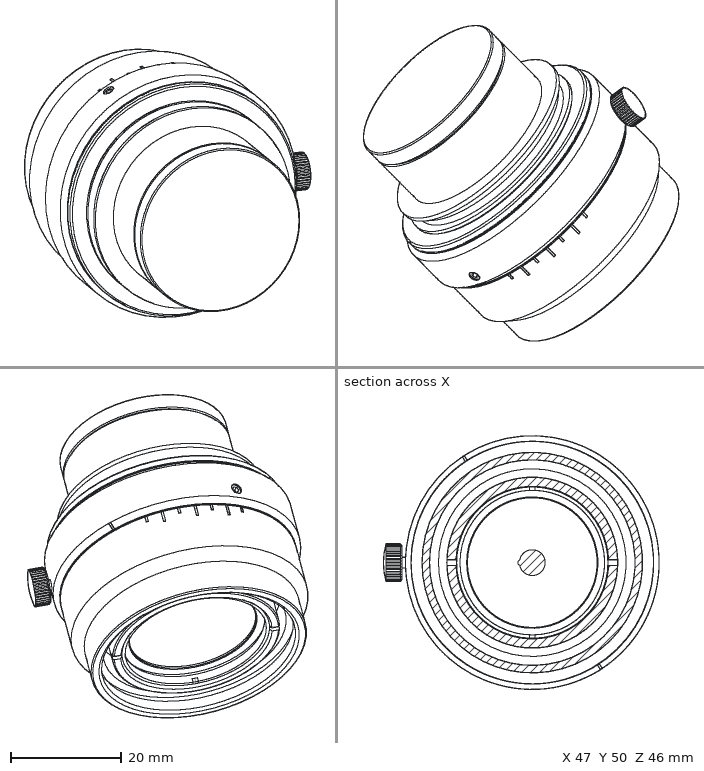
import cadquery as cq
import math

TOTAL_LENGTH = 47.0
EDGE_BREAK = 0.25

HOOD_RADIUS = 20.0
HOOD_LENGTH = 6.0
BARREL_RADIUS = 22.0
BARREL_END = 17.3

RING_RADIUS = 23.0
RING_START = 17.55
RING_CHAMFER = RING_RADIUS - BARREL_RADIUS
RING_END = 26.9
FRONT_GAP_DEPTH = 0.1

COLLAR_START = 27.2
COLLAR_END = 28.6
COLLAR_CHAMFER = 0.35
COLLAR_GAP_DEPTH = 0.3

MOUNT_RADIUS = 19.0
MOUNT_CHAMFER = 0.25
MOUNT_FRONT_END = 29.55
MOUNT_NECK_RADIUS = 17.5
MOUNT_NECK_END = 30.9
MOUNT_END = 33.25

TUBE_RADIUS = 15.5
TUBE_GROOVE_RADIUS = 15.0
TUBE_GROOVE_START = 43.5
TUBE_GROOVE_WIDTH = 0.5

FILTER_MOUTH_RADIUS = 18.6
FILTER_RADIUS = 18.0
FILTER_MOUTH_DEPTH = 0.45
UNDERCUT_START = 2.45
FRONT_SHELF = 3.75
MOAT_OUTER_RADIUS = 17.0
MOAT_FLOOR = 9.0

RETAINER_FRONT = 2.25
RETAINER_RADIUS = 15.5
RETAINER_MOUTH_RADIUS = 14.05
RETAINER_STEP_RADIUS = 13.7
RETAINER_STEP = 2.8
RETAINER_BORE_RADIUS = 13.1
RELIEF_RADIUS = 13.5
RELIEF_START = 4.4
LENS_SEAT = 5.15
LENS_MOUTH_RADIUS = 11.9
LENS_RADIUS = 11.75
LENS_RIM = 5.65
LENS_APEX = 2.5

SLOT_WIDTH = 1.0
SLOT_DEPTH = 0.8

SCREW_X = 20.5
SCREW_HOLE_DIAMETER = 2.05
SCREW_HOLE_DEPTH = 0.3
SOCKET_WIDTH = 1.1
SOCKET_DEPTH = 0.8
SCREW_SPACING = 120.0

KNOB_RADIUS = 3.45
KNOB_BOTTOM = 23.6
KNOB_RIM = 26.5
KNOB_TOP = 27.0
KNOB_CHAMFER = 0.35
STEM_RADIUS = 1.0
STEM_ROOT = 21.5
KNURL_COUNT = 40
KNURL_DEPTH = 0.15

TICK_WIDTH = 0.4
TICK_DEPTH = 0.1
TICK_STEP = 8.0
TICK_COUNT = 7
FIRST_TICK_ANGLE = 16.0
LONG_TICK = 2.2
SHORT_TICK = 1.15
INDEX_ANGLE = 33.0


def place_around_axis(shape, angle):
    """Turn a shape built above the axis; positive angles lean from +Z toward +Y."""
    return shape.rotate((0, 0, 0), (1, 0, 0), -angle)


def cap_drop(radius, base_radius, sag):
    """Drop from the apex of a spherical cap, at a given radius, for a cap with this base and sag."""
    curvature = (base_radius**2 + sag**2) / (2 * sag)
    return curvature - math.sqrt(curvature**2 - radius**2)


def make_body():
    """Revolve the stepped outside and the recessed, lens-closed front."""
    mount_chamfer_end = COLLAR_END + MOUNT_CHAMFER
    mount_cone_end = MOUNT_NECK_END + MOUNT_RADIUS - MOUNT_NECK_RADIUS
    groove_end = TUBE_GROOVE_START + TUBE_GROOVE_WIDTH
    outside = [
        (0, FILTER_MOUTH_RADIUS),
        (0, HOOD_RADIUS - EDGE_BREAK),
        (EDGE_BREAK, HOOD_RADIUS),
        (HOOD_LENGTH, HOOD_RADIUS),
        (HOOD_LENGTH + BARREL_RADIUS - HOOD_RADIUS, BARREL_RADIUS),
        (BARREL_END, BARREL_RADIUS),
        (BARREL_END, BARREL_RADIUS - FRONT_GAP_DEPTH),
        (RING_START, BARREL_RADIUS - FRONT_GAP_DEPTH),
        (RING_START, BARREL_RADIUS),
        (RING_START + RING_CHAMFER, RING_RADIUS),
        (RING_END - RING_CHAMFER, RING_RADIUS),
        (RING_END, BARREL_RADIUS),
        (RING_END, BARREL_RADIUS - COLLAR_GAP_DEPTH),
        (COLLAR_START, BARREL_RADIUS - COLLAR_GAP_DEPTH),
        (COLLAR_START, BARREL_RADIUS),
        (COLLAR_END - COLLAR_CHAMFER, BARREL_RADIUS),
        (COLLAR_END, BARREL_RADIUS - COLLAR_CHAMFER),
        (COLLAR_END, MOUNT_RADIUS - MOUNT_CHAMFER),
        (mount_chamfer_end, MOUNT_RADIUS),
        (MOUNT_FRONT_END, MOUNT_RADIUS),
        (MOUNT_FRONT_END, MOUNT_NECK_RADIUS),
        (MOUNT_NECK_END, MOUNT_NECK_RADIUS),
        (mount_cone_end, MOUNT_RADIUS),
        (MOUNT_END, MOUNT_RADIUS),
        (MOUNT_END, TUBE_RADIUS),
        (TUBE_GROOVE_START, TUBE_RADIUS),
        (TUBE_GROOVE_START, TUBE_GROOVE_RADIUS),
        (groove_end, TUBE_GROOVE_RADIUS),
        (groove_end, TUBE_RADIUS),
        (TOTAL_LENGTH - EDGE_BREAK, TUBE_RADIUS),
        (TOTAL_LENGTH, TUBE_RADIUS - EDGE_BREAK),
        (TOTAL_LENGTH, 0),
        (LENS_APEX, 0),
    ]
    recess = [
        (LENS_SEAT + LENS_MOUTH_RADIUS - LENS_RADIUS, LENS_RADIUS),
        (LENS_SEAT, LENS_MOUTH_RADIUS),
        (LENS_SEAT, RELIEF_RADIUS),
        (RELIEF_START, RELIEF_RADIUS),
        (RELIEF_START, RETAINER_BORE_RADIUS),
        (RETAINER_STEP, RETAINER_BORE_RADIUS),
        (RETAINER_STEP, RETAINER_STEP_RADIUS),
        (RETAINER_FRONT, RETAINER_MOUTH_RADIUS),
        (RETAINER_FRONT, RETAINER_RADIUS - EDGE_BREAK),
        (RETAINER_FRONT + EDGE_BREAK, RETAINER_RADIUS),
        (MOAT_FLOOR, RETAINER_RADIUS),
        (MOAT_FLOOR, MOAT_OUTER_RADIUS),
        (FRONT_SHELF, MOAT_OUTER_RADIUS),
        (FRONT_SHELF, FILTER_MOUTH_RADIUS),
        (UNDERCUT_START, FILTER_MOUTH_RADIUS),
        (UNDERCUT_START, FILTER_RADIUS),
        (FILTER_MOUTH_DEPTH, FILTER_RADIUS),
    ]
    middle_radius = LENS_RADIUS / 2
    middle_x = LENS_APEX + cap_drop(middle_radius, LENS_RADIUS, LENS_RIM - LENS_APEX)
    profile = (
        cq.Workplane("XY")
        .polyline(outside)
        .threePointArc((middle_x, middle_radius), (LENS_RIM, LENS_RADIUS))
    )
    for point in recess:
        profile = profile.lineTo(*point)
    return profile.close().revolve(360, (0, 0, 0), (1, 0, 0))


def make_spanner_slots():
    """Two slots across the ring face on Y, and two on its inner step on Z."""
    face_length = RETAINER_RADIUS - RETAINER_STEP_RADIUS
    face_slot = cq.Workplane("XY").box(SLOT_DEPTH, SLOT_WIDTH, face_length, centered=(False, True, False))
    face_slot = face_slot.translate((RETAINER_FRONT, 0, RETAINER_STEP_RADIUS))
    step_length = RETAINER_STEP_RADIUS - RETAINER_BORE_RADIUS
    step_slot = cq.Workplane("XY").box(SLOT_DEPTH, SLOT_WIDTH, step_length, centered=(False, True, False))
    step_slot = step_slot.translate((RETAINER_STEP, 0, RETAINER_BORE_RADIUS))
    slots = place_around_axis(face_slot, 90).union(place_around_axis(face_slot, -90))
    return slots.union(step_slot).union(place_around_axis(step_slot, 180))


def make_screw_recess():
    """Shallow round hole with a hexagonal socket in its floor."""
    floor = RING_RADIUS - SCREW_HOLE_DEPTH
    hole = cq.Workplane("XY", origin=(SCREW_X, 0, floor)).circle(SCREW_HOLE_DIAMETER / 2)
    hole = hole.extrude(2 * SCREW_HOLE_DEPTH)
    socket = cq.Workplane("XY", origin=(SCREW_X, 0, floor - SOCKET_DEPTH))
    socket = socket.polygon(6, SOCKET_WIDTH, circumscribed=True).extrude(SOCKET_DEPTH)
    return hole.union(socket)


def make_aperture_marks():
    """Alternating short and long ticks on the barrel, and an index mark on the ring chamfer."""
    index_length = RING_CHAMFER * math.sqrt(2)
    index = cq.Workplane("XY").box(index_length, TICK_WIDTH, 2 * TICK_DEPTH)
    index = index.rotate((0, 0, 0), (0, 1, 0), -45)
    index = index.translate((RING_START + RING_CHAMFER / 2, 0, (BARREL_RADIUS + RING_RADIUS) / 2))
    marks = place_around_axis(index, INDEX_ANGLE)
    for number in range(TICK_COUNT):
        length = LONG_TICK if number % 2 else SHORT_TICK
        tick = cq.Workplane("XY").box(length, TICK_WIDTH, 2 * TICK_DEPTH)
        tick = tick.translate((BARREL_END - length / 2, 0, BARREL_RADIUS))
        marks = marks.union(place_around_axis(tick, FIRST_TICK_ANGLE - number * TICK_STEP))
    return marks


def make_knob():
    """Knurled, domed knob on a stem, turned to point along +Y."""
    middle_radius = KNOB_RADIUS / 2
    middle_height = KNOB_TOP - cap_drop(middle_radius, KNOB_RADIUS, KNOB_TOP - KNOB_RIM)
    head = (
        cq.Workplane("XZ")
        .moveTo(0, KNOB_BOTTOM)
        .lineTo(KNOB_RADIUS - KNOB_CHAMFER, KNOB_BOTTOM)
        .lineTo(KNOB_RADIUS, KNOB_BOTTOM + KNOB_CHAMFER)
        .lineTo(KNOB_RADIUS, KNOB_RIM)
        .threePointArc((middle_radius, middle_height), (0, KNOB_TOP))
        .close()
        .revolve(360, (0, 0, 0), (0, 1, 0))
    )
    star = []
    for corner in range(2 * KNURL_COUNT):
        radius = KNOB_RADIUS - KNURL_DEPTH * (corner % 2)
        angle = math.pi * corner / KNURL_COUNT
        star.append((radius * math.cos(angle), radius * math.sin(angle)))
    knurl = cq.Workplane("XY", origin=(0, 0, KNOB_BOTTOM)).polyline(star).close()
    head = head.intersect(knurl.extrude(KNOB_TOP - KNOB_BOTTOM))
    stem = cq.Workplane("XY", origin=(0, 0, STEM_ROOT)).circle(STEM_RADIUS)
    knob = head.union(stem.extrude(KNOB_BOTTOM - STEM_ROOT))
    return place_around_axis(knob.translate((SCREW_X, 0, 0)), 90)


body = make_body().cut(make_spanner_slots())
for turn in (1, 2):
    body = body.cut(place_around_axis(make_screw_recess(), 90 + turn * SCREW_SPACING))
for half_turn in (0, 180):
    body = body.cut(place_around_axis(make_aperture_marks(), half_turn))

result = body.union(make_knob())